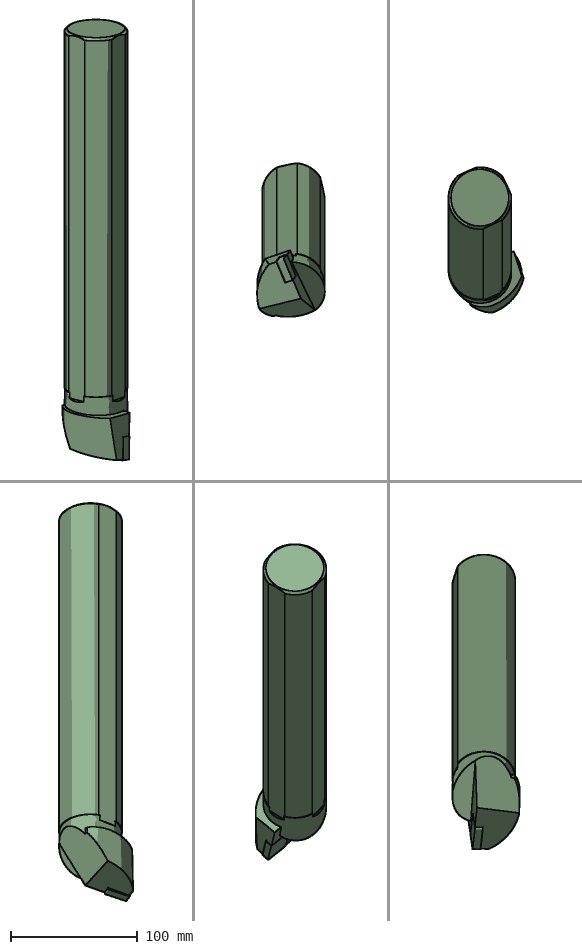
import cadquery as cq
import math

total_height = 351.5
shank_radius = 25.0
shank_bottom = 53.0
top_chamfer = 2.0
flat_offset = 23.5
flat_bottom = 48.5

neck_radius = 24.5
neck_bottom = 39.0

lug_side_x = -17.5
lug_side_y = -20.5
lug_front_y = -28.5
lug_small_radius = 23.2
lug_large_radius = 40.8
lug_reach = 37.0
lug_back_y = 10.5
lug_top = 38.5
lug_top_slope = -0.04

tip_x = 34.8
tip_y = -0.5
rake_slope_x = -0.16
rake_slope_z = 0.105

end_height = 5.3
end_slope_x = -0.13
end_slope_y = -0.1

side_reach = 34.0
side_slope_y = 0.13
side_slope_z = -0.085

relief_height = 3.0
relief_slope = -1.78

roof_height = 37.3
roof_slope_x = -0.41
roof_slope_y = -0.4

insert_edge = 19.5
insert_angle = 80.0
insert_lead = 5.0
insert_thickness = 6.5
nose_radius = 1.0

block_size = 211.0


def half_space(origin, normal):
    """Large block on the side of a plane that the normal points to."""
    return (
        cq.Workplane(cq.Plane(origin=origin, normal=normal))
        .rect(block_size, block_size)
        .extrude(block_size)
    )


rake_origin = (tip_x, tip_y, 0)
rake_normal = (-rake_slope_x, 1, -rake_slope_z)


def make_bar():
    """Shank, tapered neck and head core in one revolved shape."""
    return (
        cq.Workplane("XZ")
        .moveTo(0, 0)
        .lineTo(shank_radius, 0)
        .lineTo(shank_radius, neck_bottom)
        .lineTo(neck_radius, shank_bottom)
        .lineTo(shank_radius, shank_bottom)
        .lineTo(shank_radius, total_height - top_chamfer)
        .lineTo(shank_radius - top_chamfer, total_height)
        .lineTo(0, total_height)
        .close()
        .revolve(360, (0, 0), (0, 1))
    )


def make_flat_cutter(angle):
    """Cutter for one flat, with a 45 degree runout at its lower end."""
    outside = 2 * shank_radius
    runout = outside - flat_offset
    return (
        cq.Workplane("XZ")
        .moveTo(flat_offset, flat_bottom)
        .lineTo(outside, flat_bottom - runout)
        .lineTo(outside, total_height)
        .lineTo(flat_offset, total_height)
        .close()
        .extrude(shank_radius, both=True)
        .rotate((0, 0, 0), (0, 0, 1), angle)
    )


def arc_middle(center_y, radius, end_x, end_y):
    """Point halfway along an arc between its lowest point and an end point."""
    half_angle = math.atan2(end_x, center_y - end_y) / 2
    return (radius * math.sin(half_angle), center_y - radius * math.cos(half_angle))


def make_lug():
    """Two tangent arcs meeting at x = 0, trimmed by the top, side and rake planes."""
    small_center_y = lug_front_y + lug_small_radius
    large_center_y = lug_front_y + lug_large_radius
    reach_y = large_center_y - math.sqrt(lug_large_radius**2 - lug_reach**2)
    outline = (
        cq.Workplane("XY")
        .moveTo(lug_side_x, lug_side_y)
        .threePointArc(
            arc_middle(small_center_y, lug_small_radius, lug_side_x, lug_side_y),
            (0, lug_front_y),
        )
        .threePointArc(
            arc_middle(large_center_y, lug_large_radius, lug_reach, reach_y),
            (lug_reach, reach_y),
        )
        .lineTo(lug_reach, lug_back_y)
        .lineTo(lug_side_x, lug_back_y)
        .close()
    )
    above_top = half_space((0, 0, lug_top), (-lug_top_slope, 0, 1))
    beyond_side = half_space((side_reach, 0, 0), (1, -side_slope_y, -side_slope_z))
    behind_rake = half_space(rake_origin, rake_normal)
    lug = outline.extrude(shank_bottom)
    return lug.cut(above_top).cut(beyond_side).cut(behind_rake)


def make_chip_pocket():
    """Space behind the rake face and below the sloping roof."""
    below_roof = half_space((0, 0, roof_height), (roof_slope_x, roof_slope_y, -1))
    return half_space(rake_origin, rake_normal).intersect(below_roof)


def make_insert():
    """Rhombic plate lying in the rake plane with its nose at the tip."""
    lean = -math.tan(math.radians(insert_lead))
    edge_direction = (lean, rake_slope_x * lean + rake_slope_z, 1)
    angle = math.radians(insert_angle)
    across = -insert_edge * math.sin(angle)
    along = insert_edge * math.cos(angle)
    plate = (
        cq.Workplane(cq.Plane(origin=rake_origin, xDir=edge_direction, normal=rake_normal))
        .polyline([(0, 0), (insert_edge, 0), (insert_edge + along, across), (along, across)])
        .close()
        .extrude(-insert_thickness)
    )
    return plate.edges(cq.selectors.ParallelDirSelector(cq.Vector(*rake_normal))).fillet(nose_radius)


def make_holder(insert):
    """Boring bar with its lug, relieved faces and the seat for the insert."""
    below_end = half_space((0, 0, end_height), (end_slope_x, end_slope_y, -1))
    behind_relief = half_space((0, 0, relief_height), (relief_slope, 0, -1))
    holder = make_bar()
    for angle in (-90, 0, 90):
        holder = holder.cut(make_flat_cutter(angle))
    holder = holder.union(make_lug())
    holder = holder.cut(below_end).cut(behind_relief)
    return holder.cut(make_chip_pocket()).cut(insert)


insert = make_insert()
holder = make_holder(insert)

result = cq.Compound.makeCompound([holder.solids().val(), insert.solids().val()])